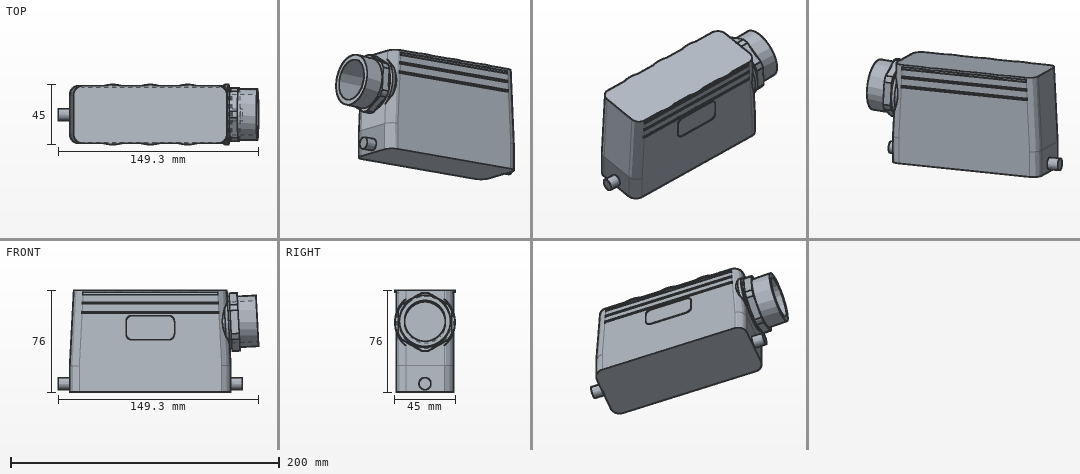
import cadquery as cq
import math

OVERALL_LENGTH = 149.3

BODY_LENGTH = 120.0
BODY_WIDTH = 43.0
BODY_HEIGHT = 76.0
SKIRT_HEIGHT = 19.9
WALL_LEAN = 3.0
CORNER_RADIUS = 7.0

PIN_DIAMETER = 9.0
PIN_SPAN = 137.0
PIN_HEIGHT = 6.3

GRIP_SPACING = 27.9
GRIP_LENGTH = 13.0
GRIP_THICKNESS = 1.8
OVERALL_WIDTH = 45.0

GROOVES = [(72.4, 1.8), (65.7, 1.3), (58.5, 1.3)]
GROOVE_DEPTH = 1.0

LABEL_LENGTH = 36.1
LABEL_HEIGHT = 18.0
LABEL_RADIUS = 4.5
LABEL_CENTER_Z = 47.9
LABEL_DEPTH = 0.5

GLAND_HEIGHT = 52.0
COLLAR_DIAMETER = OVERALL_WIDTH
COLLAR_LENGTH = 2.5
COLLAR_CONE_LENGTH = 4.5
NECK_DIAMETER = 39.0
NECK_LENGTH = 1.5
NUT_SIDES = 6
NUT_ACROSS_FLATS = 39.9
NUT_ROUND_DIAMETER = 43.5
NUT_LENGTH = 6.0
SLEEVE_DIAMETER = 38.0
BORE_DIAMETER = 30.5

lean = math.radians(WALL_LEAN)


def half_length_at(z):
    """Half the body length at height z."""
    return BODY_LENGTH / 2 - max(0, z - SKIRT_HEIGHT) * math.tan(lean)


def make_body():
    """Block with leaning end walls and rounded corners."""
    top_half = half_length_at(BODY_HEIGHT)
    return (
        cq.Workplane("XZ")
        .moveTo(-BODY_LENGTH / 2, 0)
        .lineTo(BODY_LENGTH / 2, 0)
        .lineTo(BODY_LENGTH / 2, SKIRT_HEIGHT)
        .lineTo(top_half, BODY_HEIGHT)
        .lineTo(-top_half, BODY_HEIGHT)
        .lineTo(-BODY_LENGTH / 2, SKIRT_HEIGHT)
        .close()
        .extrude(BODY_WIDTH / 2, both=True)
        .edges("(not |X) and (not |Y)")
        .fillet(CORNER_RADIUS)
    )


def make_grips():
    """Lens-shaped plates that reach out past both long sides."""
    side = BODY_WIDTH / 2
    peak = OVERALL_WIDTH / 2
    grips = cq.Workplane("XY").workplane(offset=BODY_HEIGHT - GRIP_THICKNESS)
    for index in (-1, 0, 1):
        center = index * GRIP_SPACING
        left = center - GRIP_LENGTH / 2
        right = center + GRIP_LENGTH / 2
        grips = (
            grips.moveTo(left, -side)
            .threePointArc((center, -peak), (right, -side))
            .lineTo(right, side)
            .threePointArc((center, peak), (left, side))
            .close()
        )
    return grips.extrude(GRIP_THICKNESS)


def make_groove(bottom, height):
    """One groove on both long sides, ending where the rounded corners begin."""
    length = 2 * (half_length_at(bottom + height / 2) - CORNER_RADIUS)
    return (
        cq.Workplane("XY")
        .workplane(offset=bottom)
        .pushPoints([(0, -BODY_WIDTH / 2), (0, BODY_WIDTH / 2)])
        .rect(length, 2 * GROOVE_DEPTH)
        .extrude(height)
    )


def make_label_recess():
    """Rounded rectangular recess in the -Y side."""
    return (
        cq.Workplane("XZ", origin=(0, -BODY_WIDTH / 2, LABEL_CENTER_Z))
        .rect(LABEL_LENGTH, LABEL_HEIGHT)
        .extrude(-LABEL_DEPTH)
        .edges("|Y")
        .fillet(LABEL_RADIUS)
    )


def make_pins():
    """One rod through the body that stands out at both ends."""
    return (
        cq.Workplane("YZ", origin=(0, 0, PIN_HEIGHT))
        .circle(PIN_DIAMETER / 2)
        .extrude(PIN_SPAN / 2, both=True)
    )


rim_reach = OVERALL_LENGTH - PIN_SPAN / 2
rim_center = rim_reach - SLEEVE_DIAMETER / 2 * math.sin(lean)
gland_length = (rim_center - half_length_at(GLAND_HEIGHT)) / math.cos(lean)


def gland_plane(distance):
    """Plane across the gland axis, at a distance outside the end wall."""
    wall_x = half_length_at(GLAND_HEIGHT)
    axis = (math.cos(lean), 0, math.sin(lean))
    origin = (wall_x + distance * axis[0], 0, GLAND_HEIGHT + distance * axis[2])
    return cq.Workplane(cq.Plane(origin=origin, xDir=(0, 1, 0), normal=axis))


def make_collar():
    """Round pad flush with the end wall, filling the rounded corners beside it."""
    cone = (
        gland_plane(-COLLAR_LENGTH - COLLAR_CONE_LENGTH)
        .circle(NECK_DIAMETER / 2)
        .workplane(offset=COLLAR_CONE_LENGTH)
        .circle(COLLAR_DIAMETER / 2)
        .loft()
    )
    disc = gland_plane(-COLLAR_LENGTH).circle(COLLAR_DIAMETER / 2).extrude(COLLAR_LENGTH)
    return cone.union(disc)


def make_gland():
    """Neck, hexagonal nut with rounded corners and outer sleeve."""
    neck = gland_plane(-COLLAR_LENGTH).circle(NECK_DIAMETER / 2).extrude(COLLAR_LENGTH + NECK_LENGTH)
    nut_plane = gland_plane(NECK_LENGTH)
    across_corners = NUT_ACROSS_FLATS / math.cos(math.pi / NUT_SIDES)
    hexagon = (
        nut_plane.transformed(rotate=(0, 0, 90))
        .polygon(NUT_SIDES, across_corners)
        .extrude(NUT_LENGTH)
    )
    nut = hexagon.intersect(nut_plane.circle(NUT_ROUND_DIAMETER / 2).extrude(NUT_LENGTH))
    sleeve = nut_plane.circle(SLEEVE_DIAMETER / 2).extrude(gland_length - NECK_LENGTH)
    return neck.union(nut).union(sleeve)


def make_bore():
    """Cable opening from the outer end of the sleeve down to the end wall."""
    return gland_plane(0).circle(BORE_DIAMETER / 2).extrude(gland_length)


result = make_body().union(make_grips())
for groove_bottom, groove_height in GROOVES:
    result = result.cut(make_groove(groove_bottom, groove_height))
result = result.cut(make_label_recess())
result = result.union(make_pins()).union(make_collar()).union(make_gland()).cut(make_bore())